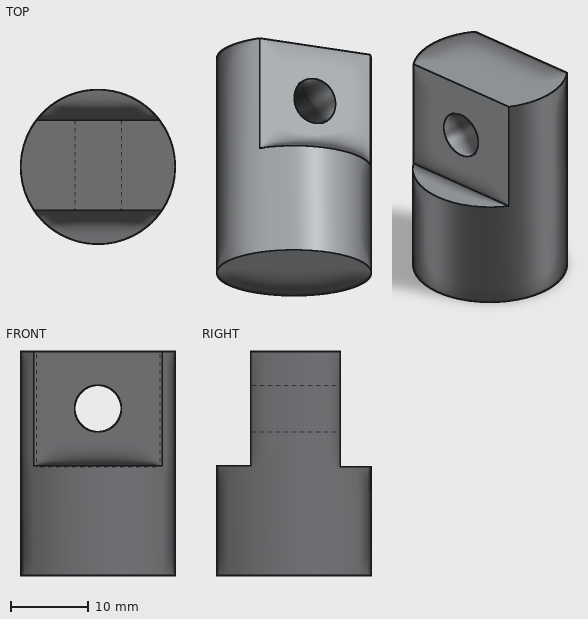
import cadquery as cq

body_diameter = 20.0
body_height = 29.0

front_flat_offset = 5.6
rear_flat_offset = 6.0
front_shoulder_height = 14.2
rear_shoulder_height = 14.1

hole_diameter = 6.0
hole_height = 21.6


def flat_cutter(side, flat_offset, shoulder_height):
    """Block that removes everything beyond a flat, above its shoulder.

    side is -1 for the -Y flat and +1 for the +Y flat.
    """
    block_depth = body_diameter
    block_center_y = side * (flat_offset + block_depth / 2)
    return (
        cq.Workplane("XY", origin=(0, block_center_y, shoulder_height))
        .box(2 * body_diameter, block_depth, body_height, centered=(True, True, False))
    )


def cross_hole_cutter():
    """Cylinder along Y, long enough to pass through the whole body."""
    return (
        cq.Workplane("XZ", origin=(0, 0, hole_height))
        .circle(hole_diameter / 2)
        .extrude(body_diameter, both=True)
    )


body = cq.Workplane("XY").circle(body_diameter / 2).extrude(body_height)

result = (
    body
    .cut(flat_cutter(-1, front_flat_offset, front_shoulder_height))
    .cut(flat_cutter(1, rear_flat_offset, rear_shoulder_height))
    .cut(cross_hole_cutter())
)